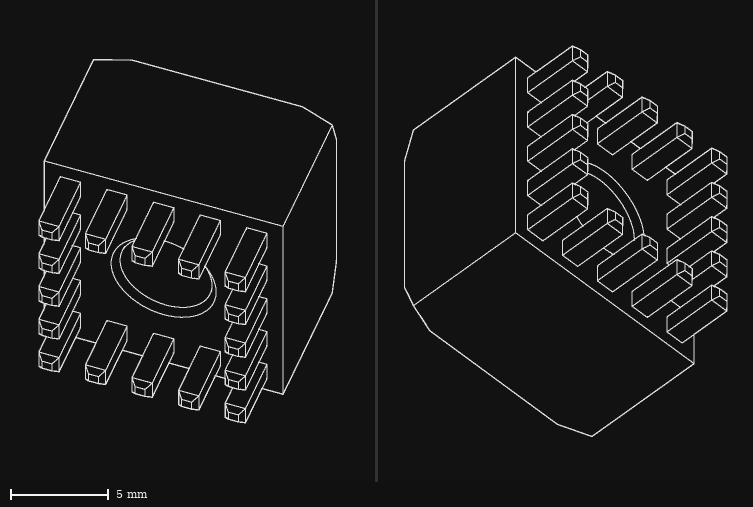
import cadquery as cq

body_side = 13.0
overall_depth = 11.5
body_depth = 8.0

corner_cut_side = 1.85
corner_cut_depth = 0.65

hole_diameter = 5.0
countersink_diameter = 5.72
countersink_depth = (countersink_diameter - hole_diameter) / 2

pins_per_side = 5
pin_pitch = 2.54
pin_width = 1.1
pin_tip_width = 0.55
pin_tip_length = 0.3
pin_length = overall_depth - body_depth

half_side = body_side / 2
last_pin = pins_per_side - 1


def corner_cutter(sign_x, sign_z):
    """Three-sided wedge that removes one corner of the +Y face."""
    corner = cq.Vector(sign_x * half_side, body_depth, sign_z * half_side)
    on_x = corner - cq.Vector(sign_x * corner_cut_side, 0, 0)
    on_y = corner - cq.Vector(0, corner_cut_depth, 0)
    on_z = corner - cq.Vector(0, 0, sign_z * corner_cut_side)
    triangles = [
        [corner, on_x, on_y],
        [corner, on_y, on_z],
        [corner, on_z, on_x],
        [on_x, on_y, on_z],
    ]
    faces = [cq.Face.makeFromWires(cq.Wire.makePolygon(points, close=True)) for points in triangles]
    return cq.Workplane(cq.Solid.makeSolid(cq.Shell.makeShell(faces)))


def make_body():
    """Block from Y = 0 to body_depth, with cut corners and a countersunk hole."""
    body = cq.Workplane("XZ").rect(body_side, body_side).extrude(-body_depth)
    for sign_x in (-1, 1):
        for sign_z in (-1, 1):
            body = body.cut(corner_cutter(sign_x, sign_z))
    hole = cq.Workplane("XZ").circle(hole_diameter / 2).extrude(-body_depth)
    countersink = (
        cq.Workplane("XZ")
        .circle(countersink_diameter / 2)
        .workplane(offset=-countersink_depth)
        .circle(hole_diameter / 2)
        .loft()
    )
    return body.cut(hole).cut(countersink)


def make_pin():
    """Square pin that runs from Y = 0 towards -Y and ends in a tapered tip."""
    shank_length = pin_length - pin_tip_length
    shank = cq.Workplane("XZ").rect(pin_width, pin_width).extrude(shank_length)
    tip = (
        cq.Workplane("XZ")
        .workplane(offset=shank_length)
        .rect(pin_width, pin_width)
        .workplane(offset=pin_tip_length)
        .rect(pin_tip_width, pin_tip_width)
        .loft()
    )
    return shank.union(tip)


def grid_position(index):
    """Centre of a grid row or column, with the grid centred on zero."""
    return (index - last_pin / 2) * pin_pitch


result = make_body()
pin = make_pin()
for column in range(pins_per_side):
    for row in range(pins_per_side):
        if column in (0, last_pin) or row in (0, last_pin):
            result = result.union(pin.translate((grid_position(column), 0, grid_position(row))))